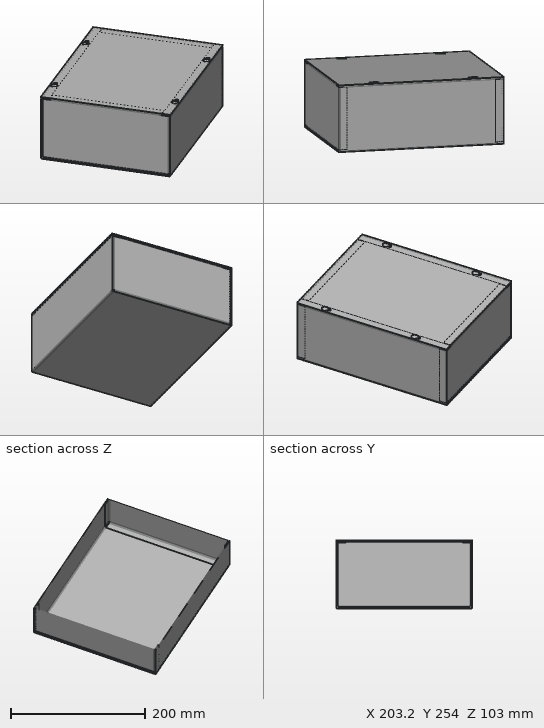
import cadquery as cq


LENGTH = 254.0
WIDTH = 203.2
BOX_HEIGHT = 101.5
SHEET = 1.47
BEND_INNER_RADIUS = 0.8
BEND_OUTER_RADIUS = BEND_INNER_RADIUS + SHEET

LIP_WIDTH = 13.2
SCREW_HOLE_DIAMETER = 4.3

PANEL_FLANGE_DEPTH = 12.7
PANEL_SIDE_GAP = 0.3
PANEL_FLOOR_GAP = 0.5
PANEL_WIDTH = WIDTH - 2 * SHEET - 2 * PANEL_SIDE_GAP
PANEL_BOTTOM = SHEET + PANEL_FLOOR_GAP
PANEL_HEIGHT = BOX_HEIGHT - PANEL_BOTTOM
LIP_NOTCH_SIDE_GAP = 1.3
LIP_NOTCH_DROP = 2.5
SIDE_FLANGE_HEIGHT = PANEL_HEIGHT - BEND_OUTER_RADIUS - LIP_NOTCH_DROP

SCREW_X = WIDTH / 2 - 6.9
SCREW_Y = 76.2
KEYHOLE_SLOT_WIDTH = 5.5
KEYHOLE_HEAD_DIAMETER = 10.5
KEYHOLE_HEAD_OFFSET = 6.9

SCREW_POINTS = [(x, y) for x in (-SCREW_X, SCREW_X) for y in (-SCREW_Y, SCREW_Y)]


def box_from_bottom(width, length, height, bottom=0.0):
    """Box centred on the Z axis with its underside at the given height."""
    return cq.Workplane("XY").box(width, length, height, (True, True, False)).translate((0, 0, bottom))


def make_wrapper():
    """Folded floor and sides with two inward lips along the open top."""
    outside = box_from_bottom(WIDTH, LENGTH, BOX_HEIGHT).edges("|Y").fillet(BEND_OUTER_RADIUS)
    inside = (
        box_from_bottom(WIDTH - 2 * SHEET, LENGTH, BOX_HEIGHT - 2 * SHEET, SHEET)
        .edges("|Y")
        .fillet(BEND_INNER_RADIUS)
    )
    opening = box_from_bottom(WIDTH - 2 * LIP_WIDTH, LENGTH, 2 * SHEET, BOX_HEIGHT - 2 * SHEET)
    screw_holes = (
        cq.Workplane("XY")
        .workplane(offset=BOX_HEIGHT - SHEET)
        .pushPoints(SCREW_POINTS)
        .circle(SCREW_HOLE_DIAMETER / 2)
        .extrude(SHEET)
    )
    return outside.cut(inside).cut(opening).cut(screw_holes)


def make_channel(span, length):
    """Folded channel: web on Y = 0, two flanges towards +Y at X = +-span/2, extruded up from Z = 0."""
    outside = (
        cq.Workplane("XY")
        .box(span, PANEL_FLANGE_DEPTH, length, (True, False, False))
        .edges("|Z and <Y")
        .fillet(BEND_OUTER_RADIUS)
    )
    inside = (
        cq.Workplane("XY")
        .box(span - 2 * SHEET, PANEL_FLANGE_DEPTH, length, (True, False, False))
        .translate((0, SHEET, 0))
        .edges("|Z and <Y")
        .fillet(BEND_INNER_RADIUS)
    )
    return outside.cut(inside)


def make_end_panel():
    """-Y end panel with four flanges; the upper corners are notched to clear the wrapper lips."""
    side_flange_bottom = PANEL_BOTTOM + BEND_OUTER_RADIUS
    side_flanges = make_channel(PANEL_WIDTH, SIDE_FLANGE_HEIGHT).translate((0, 0, side_flange_bottom))
    web_width = PANEL_WIDTH - 2 * BEND_OUTER_RADIUS
    top_and_bottom_flanges = (
        make_channel(PANEL_HEIGHT, web_width)
        .translate((0, 0, -web_width / 2))
        .rotate((0, 0, 0), (0, 1, 0), 90)
        .translate((0, 0, PANEL_BOTTOM + PANEL_HEIGHT / 2))
    )
    lip_notch_width = LIP_WIDTH + LIP_NOTCH_SIDE_GAP
    lip_notch_x = (WIDTH - lip_notch_width) / 2
    lip_notches = (
        cq.Workplane("XY")
        .workplane(offset=BOX_HEIGHT - LIP_NOTCH_DROP)
        .pushPoints([(x, PANEL_FLANGE_DEPTH / 2) for x in (-lip_notch_x, lip_notch_x)])
        .rect(lip_notch_width, PANEL_FLANGE_DEPTH)
        .extrude(LIP_NOTCH_DROP)
    )
    return top_and_bottom_flanges.cut(lip_notches).union(side_flanges).translate((0, -LENGTH / 2, 0))


def make_cover():
    """Flat cover with four keyholes whose wide ends all point towards -Y."""
    cover = box_from_bottom(WIDTH, LENGTH, SHEET, BOX_HEIGHT)
    plane = cq.Workplane("XY").workplane(offset=BOX_HEIGHT)
    slot_ends = plane.pushPoints(SCREW_POINTS).circle(KEYHOLE_SLOT_WIDTH / 2).extrude(SHEET)
    necks = (
        plane.pushPoints([(x, y - KEYHOLE_HEAD_OFFSET / 2) for x, y in SCREW_POINTS])
        .rect(KEYHOLE_SLOT_WIDTH, KEYHOLE_HEAD_OFFSET)
        .extrude(SHEET)
    )
    heads = (
        plane.pushPoints([(x, y - KEYHOLE_HEAD_OFFSET) for x, y in SCREW_POINTS])
        .circle(KEYHOLE_HEAD_DIAMETER / 2)
        .extrude(SHEET)
    )
    return cover.cut(slot_ends).cut(necks).cut(heads)


wrapper = make_wrapper()
cover = make_cover()

end_panels = [make_end_panel().rotate((0, 0, 0), (0, 0, 1), turn) for turn in (0, 180)]

result = cq.Compound.makeCompound([wrapper.val(), cover.val(), *[panel.val() for panel in end_panels]])